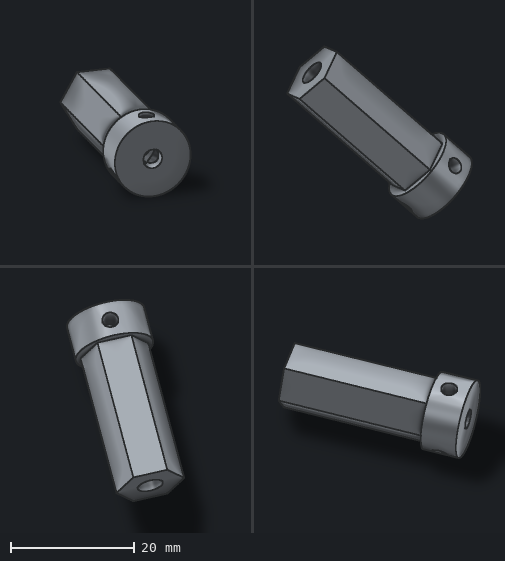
import cadquery as cq
import math

total_length = 30.5
collar_diameter = 13.0
collar_length = 6.0
hex_across_flats = 9.82
bore_diameter = 4.2
end_hole_diameter = 3.2
screw_hole_diameter = 2.6
screw_hole_count = 3
top_hole_offset = 0.2

hex_length = total_length - collar_length
hex_across_corners = hex_across_flats / math.cos(math.pi / 6)
collar_middle = hex_length + collar_length / 2


def cylinder_along_x(start, length, diameter):
    return cq.Workplane("YZ", origin=(start, 0, 0)).circle(diameter / 2).extrude(length)


def radial_screw_hole(position, angle):
    upright = (
        cq.Workplane("XY", origin=(position, 0, 0))
        .circle(screw_hole_diameter / 2)
        .extrude(collar_diameter / 2)
    )
    return upright.rotate((0, 0, 0), (1, 0, 0), angle)


shank = cq.Workplane("YZ").polygon(6, hex_across_corners).extrude(hex_length)
collar = cylinder_along_x(hex_length, collar_length, collar_diameter)
body = shank.union(collar)

body = body.cut(cylinder_along_x(0, hex_length, bore_diameter))
body = body.cut(cylinder_along_x(hex_length, collar_length, end_hole_diameter))

for index in range(screw_hole_count):
    angle = index * 360 / screw_hole_count
    position = collar_middle - top_hole_offset if index == 0 else collar_middle
    body = body.cut(radial_screw_hole(position, angle))

result = body